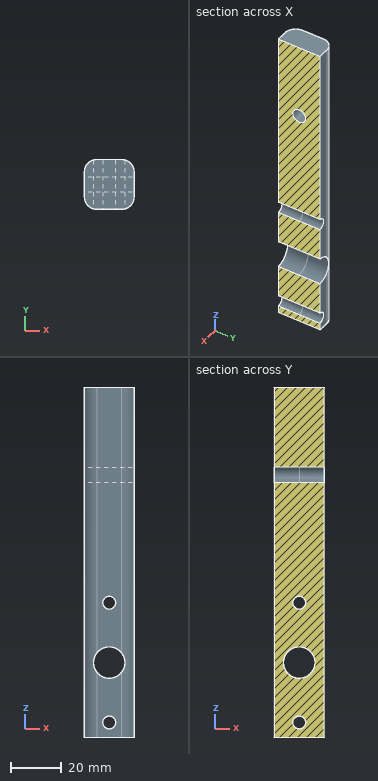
import cadquery as cq

length = 140.0
width = 20.0
corner_radius = 5.0

bore_diameter = 12.5
bore_height = 30.0
pin_diameter = 5.0
pin_spacing = 24.0

cross_diameter = 6.0
cross_height = 105.0


def through_hole(plane, height, diameter):
    """Cylinder on the bar's centre line, spanning the full width normal to the plane."""
    return cq.Workplane(plane).center(0, height).circle(diameter / 2).extrude(width, both=True)


result = (
    cq.Workplane("XY")
    .rect(width, width)
    .extrude(length)
    .edges("|Z")
    .fillet(corner_radius)
)

result = result.cut(through_hole("XZ", bore_height, bore_diameter))
for side in (-1, 1):
    result = result.cut(through_hole("XZ", bore_height + side * pin_spacing, pin_diameter))

result = result.cut(through_hole("YZ", cross_height, cross_diameter))